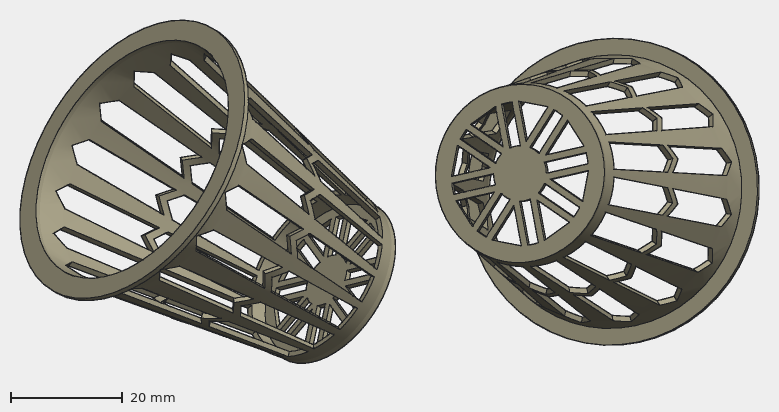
import cadquery as cq
import math

height = 51.95
rim_diameter = 55.0
mouth_diameter = 47.0
base_diameter = 32.0
rim_thickness = 1.0
floor_thickness = 1.0
wall_thickness = 1.0

window_count = 16
window_width = 5.0
window_bottom = 4.0
window_tip = 48.0
chevron_tip = 28.2
chevron_height = 1.95

slot_count = 8
hub_radius = 5.0
opening_radius = 12.95
slot_width = 2.0
rib_width = 1.2

tilt_axis_heading = math.radians(-54)
tilt_angle = 45

rim_radius = rim_diameter / 2
mouth_radius = mouth_diameter / 2
base_radius = base_diameter / 2
rim_underside = height - rim_thickness
window_cut_start = base_radius - 2 * wall_thickness


def basket_body():
    """Revolved cup: flat floor, conical wall and flat rim."""
    profile = [
        (0, 0),
        (base_radius, 0),
        (base_radius, floor_thickness),
        (mouth_radius + wall_thickness, rim_underside),
        (rim_radius, rim_underside),
        (rim_radius, height),
        (mouth_radius, height),
        (mouth_radius, rim_underside),
        (base_radius - wall_thickness, floor_thickness),
        (0, floor_thickness),
    ]
    return cq.Workplane("XZ").polyline(profile).close().revolve(360, (0, 0), (0, 1))


def around_axis(cutters, count):
    """Copies of the cutters repeated evenly around the basket axis."""
    copies = cq.Workplane("XY")
    for i in range(count):
        for cutter in cutters:
            copies = copies.add(cutter.rotate((0, 0, 0), (0, 0, 1), 360 / count * i))
    return copies


def window_cutter(outline):
    """Radial cutter along +X from an outline of (sideways, height) points."""
    plane = cq.Workplane("YZ", origin=(window_cut_start, 0, 0))
    return plane.polyline(outline).close().extrude(rim_radius)


def wall_windows():
    """Upper and lower windows repeated around the wall, parted by chevron ties.

    All points and notches have 45 degree flanks, so they rise by half the width.
    """
    half = window_width / 2
    lower_tip = chevron_tip - chevron_height
    lower = window_cutter([
        (-half, window_bottom),
        (half, window_bottom),
        (half, lower_tip - half),
        (0, lower_tip),
        (-half, lower_tip - half),
    ])
    upper = window_cutter([
        (-half, chevron_tip - half),
        (0, chevron_tip),
        (half, chevron_tip - half),
        (half, window_tip - half),
        (0, window_tip),
        (-half, window_tip - half),
    ])
    return around_axis([lower, upper], window_count)


def floor_slot():
    """Slot along +X whose ends follow the round hub and the outer ring."""
    ring = cq.Workplane("XY").circle(opening_radius).circle(hub_radius).extrude(floor_thickness)
    strip = cq.Workplane("XY").center(opening_radius / 2, 0).rect(opening_radius, slot_width)
    return ring.intersect(strip.extrude(floor_thickness))


def floor_sector():
    """Three-cornered opening between the slot on +X and the next one."""
    half_step = math.pi / slot_count
    spoke_half_width = slot_width / 2 + rib_width
    inner_reach = spoke_half_width / math.sin(half_step)
    first_angle = math.asin(spoke_half_width / opening_radius)
    last_angle = 2 * half_step - first_angle
    corners = [
        (reach * math.cos(angle), reach * math.sin(angle))
        for reach, angle in (
            (inner_reach, half_step),
            (opening_radius, first_angle),
            (opening_radius, last_angle),
        )
    ]
    return cq.Workplane("XY").polyline(corners).close().extrude(floor_thickness)


wall_cut = basket_body().cut(wall_windows())
basket = wall_cut.cut(around_axis([floor_slot(), floor_sector()], slot_count))

tilt_axis = (math.cos(tilt_axis_heading), math.sin(tilt_axis_heading), 0)
result = basket.rotate((0, 0, 0), tilt_axis, tilt_angle)